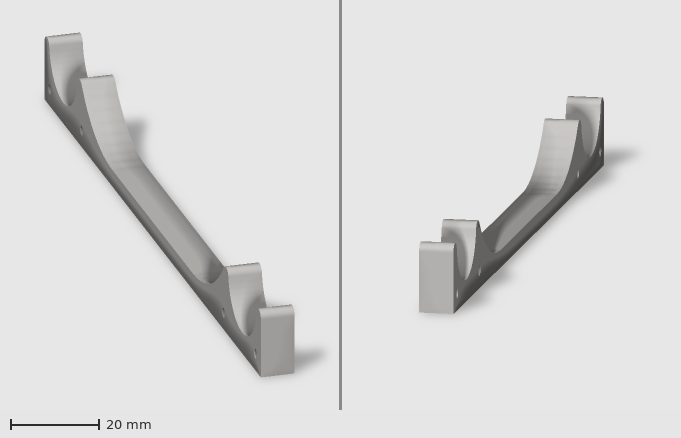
import cadquery as cq
import math

length = 169.0
thickness = 8.0
height = 16.0
bar_height = 4.0
cradle_x = 14.5
cradle_radius = 11.0
inner_tip_radius = 2.0
bar_start_x = 52.5
hole_diameter = 2.4
hole_z = 4.0
hole_positions = (4.0, 29.0)

tip_sum = cradle_x + cradle_radius
outer_tip_radius = tip_sum - math.sqrt(tip_sum**2 - (cradle_x**2 - cradle_radius**2))
outer_tip = (outer_tip_radius, height - outer_tip_radius)

cradle = (cradle_x, height)
inner_tip_reach = math.sqrt((cradle_radius + inner_tip_radius) ** 2 - inner_tip_radius**2)
inner_tip = (cradle_x + inner_tip_reach, height - inner_tip_radius)

sweep_dx = bar_start_x - inner_tip[0]
tip_rise = inner_tip[1] - bar_height
sweep_radius = (sweep_dx**2 + tip_rise**2 - inner_tip_radius**2) / (2 * (tip_rise + inner_tip_radius))
sweep = (bar_start_x, bar_height + sweep_radius)


def toward(center, target, radius):
    """Point at the given radius from center, in the direction of target."""
    dx = target[0] - center[0]
    dz = target[1] - center[1]
    distance = math.hypot(dx, dz)
    return (center[0] + radius * dx / distance, center[1] + radius * dz / distance)


def half_bracket():
    """Left half of the bracket, from the end face to the middle plane."""
    sweep_start = toward(sweep, inner_tip, sweep_radius)
    bar_start = (bar_start_x, bar_height)
    chord_middle = ((sweep_start[0] + bar_start[0]) / 2, (sweep_start[1] + bar_start[1]) / 2)
    profile = (
        cq.Workplane("XZ")
        .moveTo(0, 0)
        .lineTo(0, outer_tip[1])
        .threePointArc((outer_tip[0], height), toward(outer_tip, cradle, outer_tip_radius))
        .threePointArc((cradle_x, height - cradle_radius), toward(cradle, inner_tip, cradle_radius))
        .threePointArc((inner_tip[0], height), sweep_start)
        .threePointArc(toward(sweep, chord_middle, sweep_radius), bar_start)
        .lineTo(length / 2, bar_height)
        .lineTo(length / 2, 0)
        .close()
    )
    holes = (
        cq.Workplane("XZ")
        .pushPoints([(x, hole_z) for x in hole_positions])
        .circle(hole_diameter / 2)
        .extrude(-thickness)
    )
    return profile.extrude(-thickness).cut(holes)


left_half = half_bracket()
right_half = left_half.mirror("YZ", (length / 2, 0, 0))
result = left_half.union(right_half, clean=True)